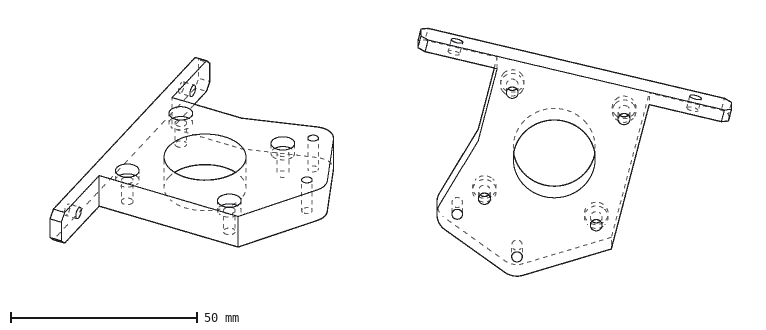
import cadquery as cq
import math

length_x = 59.3
flange_length = 86.0
height = 10.0

flange_thickness = 3.4
flange_chamfer = 2.0
flange_hole_spacing = 66.05
screw_diameter = 3.2

plate_half_width = 21.1
bore_x = 24.5
bore_diameter = 22.0
motor_hole_spacing = 31.0
counterbore_diameter = 6.4
counterbore_depth = 3.2
lower_corner_x = 45.6

ear_radius = 5.5
ear_hole_diameter = 2.8
upper_ear = (46.0, 21.5)
outer_ear = (length_x - ear_radius, 3.0)


def ear_point(center, angle):
    """Point on the rounded ear corner around center, at an angle in radians."""
    return (
        center[0] + ear_radius * math.cos(angle),
        center[1] + ear_radius * math.sin(angle),
    )


def tangent_angle(point, center, side):
    """Angle, within half a turn, where the tangent from point touches the ear; side is +1 or -1."""
    dx = point[0] - center[0]
    dy = point[1] - center[1]
    angle = math.atan2(dy, dx) + side * math.acos(ear_radius / math.hypot(dx, dy))
    return math.remainder(angle, 2 * math.pi)


def make_flange():
    return (
        cq.Workplane("XY")
        .box(flange_thickness, flange_length, height, centered=(False, True, False))
        .edges("|X")
        .chamfer(flange_chamfer)
    )


def make_plate():
    upper_bend = (bore_x, plate_half_width)
    lower_corner = (lower_corner_x, -plate_half_width)
    upper_start = tangent_angle(upper_bend, upper_ear, -1)
    outer_end = tangent_angle(lower_corner, outer_ear, 1)
    side_normal = math.atan2(outer_ear[0] - upper_ear[0], upper_ear[1] - outer_ear[1])
    upper_middle = (upper_start + side_normal) / 2
    outer_middle = (side_normal + outer_end) / 2
    return (
        cq.Workplane("XY")
        .moveTo(0, -plate_half_width)
        .lineTo(0, plate_half_width)
        .lineTo(*upper_bend)
        .lineTo(*ear_point(upper_ear, upper_start))
        .threePointArc(ear_point(upper_ear, upper_middle), ear_point(upper_ear, side_normal))
        .lineTo(*ear_point(outer_ear, side_normal))
        .threePointArc(ear_point(outer_ear, outer_middle), ear_point(outer_ear, outer_end))
        .lineTo(*lower_corner)
        .close()
        .extrude(height)
    )


def cut_plate_holes(body):
    top = cq.Workplane("XY", origin=(0, 0, height))
    motor_holes = top.center(bore_x, 0).rect(motor_hole_spacing, motor_hole_spacing, forConstruction=True)
    screws = motor_holes.vertices().circle(screw_diameter / 2).extrude(-height)
    counterbores = motor_holes.vertices().circle(counterbore_diameter / 2).extrude(-counterbore_depth)
    bore = cq.Workplane("XY").center(bore_x, 0).circle(bore_diameter / 2).extrude(height)
    ear_holes = (
        cq.Workplane("XY")
        .pushPoints([upper_ear, outer_ear])
        .circle(ear_hole_diameter / 2)
        .extrude(height)
    )
    return body.cut(screws).cut(counterbores).cut(bore).cut(ear_holes)


def cut_flange_holes(body):
    hole_y = flange_hole_spacing / 2
    holes = (
        cq.Workplane("YZ")
        .pushPoints([(-hole_y, height / 2), (hole_y, height / 2)])
        .circle(screw_diameter / 2)
        .extrude(flange_thickness)
    )
    return body.cut(holes)


bracket = make_flange().union(make_plate())
result = cut_flange_holes(cut_plate_holes(bracket))